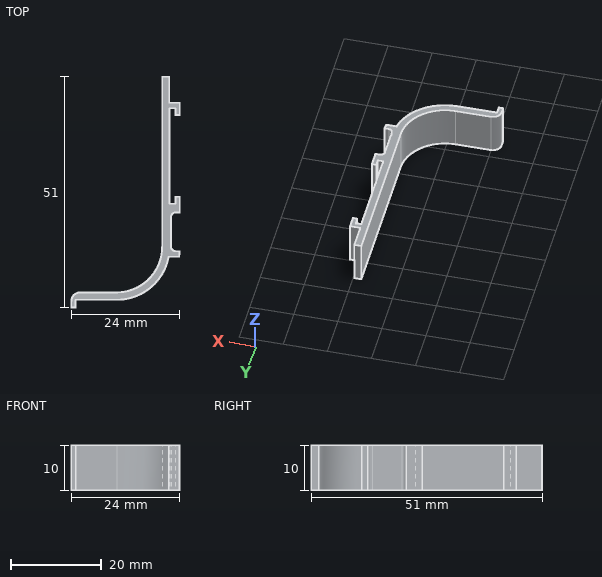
import cadquery as cq
import math

width = 24.0
length = 51.0
height = 10.0

diagonal = math.sqrt(0.5)

wall_face_x = 20.05
wall_thickness = 1.7
wall_end_thickness = 1.6
wall_base_thickness = 2.0

bend_inner_radius = 10.0
bend_outer_radius = bend_inner_radius + wall_thickness
bend_center_x = wall_face_x - bend_inner_radius

foot_top_y = 3.4
foot_bottom_y = foot_top_y - wall_thickness
bend_center_y = foot_top_y + bend_inner_radius
toe_thickness = 1.0
toe_corner_radius = 2.0

lip_thickness = 1.0
lip_length = 1.5
upper_hook_floor_y = 44.0
upper_hook_thickness = 1.3
lower_hook_floor_y = 23.0
lower_hook_thickness = 2.0
lower_hook_back_y = lower_hook_floor_y - lower_hook_thickness

rib_top_y = 12.5
rib_thickness = 1.3
rib_bottom_y = rib_top_y - rib_thickness
rib_end_slope = 0.15
root_fillet_radius = 1.0


def box(x_min, x_max, y_min, y_max):
    """Full-height block between the given X and Y limits."""
    size_x = x_max - x_min
    size_y = y_max - y_min
    return cq.Workplane("XY").box(size_x, size_y, height, centered=False).translate((x_min, y_min, 0))


def make_foot_and_bend():
    """Foot plate with its toe, and the bend up to the underside of the rib and the long wall."""
    toe_arc_mid_offset = toe_corner_radius * (1 - diagonal)
    inner_mid_offset = bend_inner_radius * diagonal
    inner_mid = (bend_center_x + inner_mid_offset, bend_center_y - inner_mid_offset)
    outer_mid_offset = bend_outer_radius * diagonal
    outer_mid = (bend_center_x + outer_mid_offset, bend_center_y - outer_mid_offset)
    return (
        cq.Workplane("XY")
        .moveTo(0, 0)
        .lineTo(toe_thickness, 0)
        .lineTo(toe_thickness, foot_bottom_y)
        .lineTo(bend_center_x, foot_bottom_y)
        .threePointArc(outer_mid, (wall_face_x + wall_thickness, bend_center_y))
        .lineTo(wall_face_x, bend_center_y)
        .threePointArc(inner_mid, (bend_center_x, foot_top_y))
        .lineTo(toe_corner_radius, foot_top_y)
        .threePointArc(
            (toe_arc_mid_offset, foot_top_y - toe_arc_mid_offset),
            (0, foot_top_y - toe_corner_radius),
        )
        .close()
        .extrude(height)
    )


def make_wall():
    """Long wall: thin free end, standard middle between the hooks, thick base down to the rib."""
    upper_hook_top_y = upper_hook_floor_y + upper_hook_thickness
    free_end = box(wall_face_x, wall_face_x + wall_end_thickness, upper_hook_floor_y, length)
    middle = box(wall_face_x, wall_face_x + wall_thickness, bend_center_y, upper_hook_top_y)
    base = box(wall_face_x, wall_face_x + wall_base_thickness, bend_center_y, lower_hook_floor_y)
    return free_end.union(middle).union(base)


def make_hook(floor_y, thickness, lip_direction):
    """Hook arm with a lip pointing along lip_direction (+1 or -1) in Y."""
    back_y = floor_y - lip_direction * thickness
    tip_y = floor_y + lip_direction * lip_length
    arm = box(wall_face_x, width, min(floor_y, back_y), max(floor_y, back_y))
    lip = box(width - lip_thickness, width, min(floor_y, tip_y), max(floor_y, tip_y))
    return arm.union(lip)


def make_rib():
    """Rib joining the bend to the wall base, rooted inside the bend material."""
    drop = bend_center_y - rib_bottom_y
    root_bottom_x = bend_center_x + math.sqrt(bend_outer_radius**2 - drop**2)
    wall_base_x = wall_face_x + wall_base_thickness
    return (
        cq.Workplane("XY")
        .moveTo(root_bottom_x, rib_bottom_y)
        .lineTo(width - rib_end_slope, rib_bottom_y)
        .lineTo(width, rib_top_y)
        .lineTo(wall_base_x, rib_top_y)
        .lineTo(wall_base_x, bend_center_y)
        .lineTo(wall_face_x, bend_center_y)
        .close()
        .extrude(height)
    )


def make_root_fillet(corner_y, direction):
    """Concave fillet in the corner of the wall base; direction points along Y into the open side."""
    corner_x = wall_face_x + wall_base_thickness
    center_x = corner_x + root_fillet_radius
    center_y = corner_y + direction * root_fillet_radius
    arc_offset = root_fillet_radius * diagonal
    return (
        cq.Workplane("XY")
        .moveTo(corner_x, corner_y)
        .lineTo(center_x, corner_y)
        .threePointArc((center_x - arc_offset, center_y - direction * arc_offset), (corner_x, center_y))
        .close()
        .extrude(height)
    )


result = (
    make_foot_and_bend()
    .union(make_wall())
    .union(make_hook(upper_hook_floor_y, upper_hook_thickness, -1))
    .union(make_hook(lower_hook_floor_y, lower_hook_thickness, 1))
    .union(make_rib())
    .union(make_root_fillet(lower_hook_back_y, -1))
    .union(make_root_fillet(rib_top_y, 1))
    .clean()
)